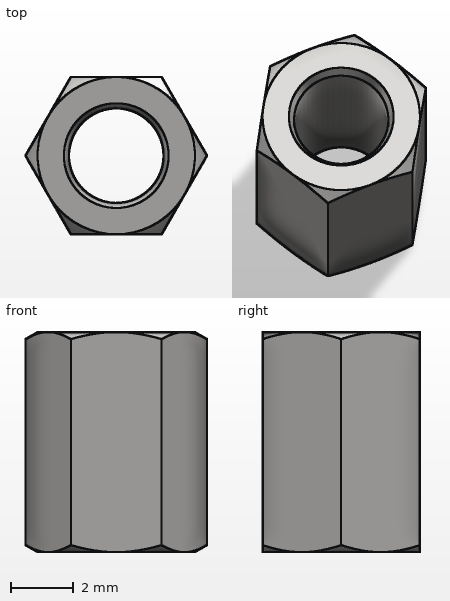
import cadquery as cq
import math

length = 7.0
across_corners = 5.78
bore_diameter = 3.0
countersink_diameter = 3.33
countersink_half_angle = 30.0
corner_chamfer_angle = 30.0

across_flats = across_corners * math.cos(math.radians(30))
corner_radius = across_corners / 2
face_radius = across_flats / 2
chamfer_height = (corner_radius - face_radius) * math.tan(math.radians(corner_chamfer_angle))
bore_radius = bore_diameter / 2
countersink_radius = countersink_diameter / 2
countersink_depth = (countersink_radius - bore_radius) / math.tan(math.radians(countersink_half_angle))


def revolve_profile(points):
    """Revolve a closed (radius, height) outline around the Z axis."""
    return cq.Workplane("XZ").polyline(points).close().revolve(360, (0, 0), (0, 1))


def make_hex_bar():
    """Hexagonal bar with two corners on the X axis."""
    return cq.Workplane("XY").polygon(6, across_corners).extrude(length)


def make_chamfer_envelope():
    """Round envelope whose conical ends trim the hexagon corners."""
    return revolve_profile([
        (0, 0),
        (face_radius, 0),
        (corner_radius, chamfer_height),
        (corner_radius, length - chamfer_height),
        (face_radius, length),
        (0, length),
    ])


def make_bore():
    """Through bore, countersunk at both ends."""
    return revolve_profile([
        (0, 0),
        (countersink_radius, 0),
        (bore_radius, countersink_depth),
        (bore_radius, length - countersink_depth),
        (countersink_radius, length),
        (0, length),
    ])


result = make_hex_bar().intersect(make_chamfer_envelope()).cut(make_bore())